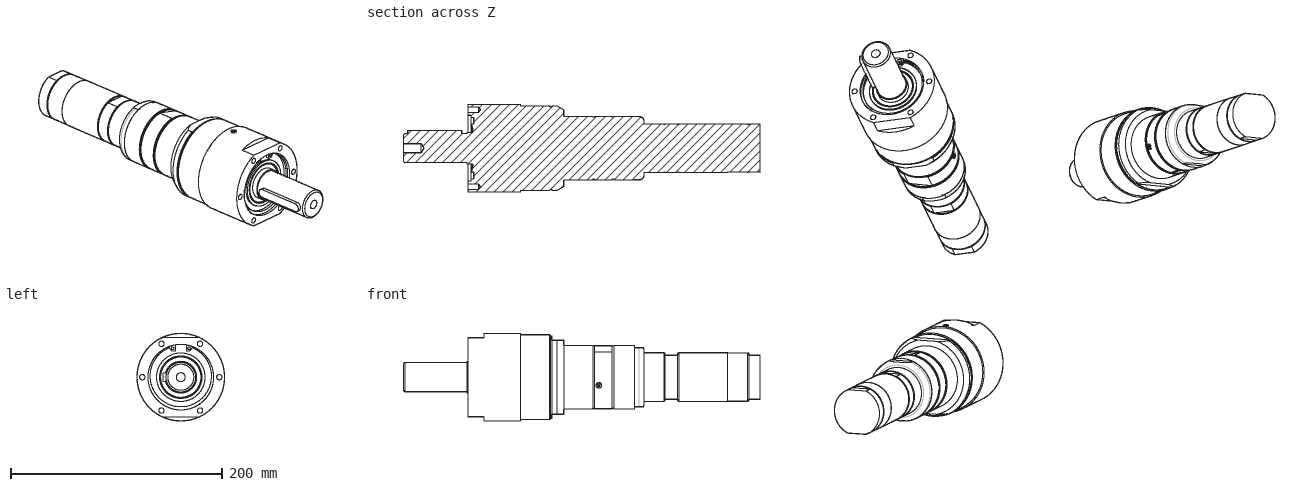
import cadquery as cq
import math


total_length = 337.5
collar_start = 60.0
body_start = 61.0
body_flat_end = 76.3
sleeve_start = 111.0
sleeve_end = 139.5
nut_start = 140.5
nut_cone_start = 145.5
neck_start = 152.0
band_start = 181.0
band_end = 197.5
ring_flat_start = 218.7
tube_start = 227.8
tube_flat_start = 247.5
tube_flat_end = 259.5
tube_joint = 306.8
end_flat_start = 326.7

shaft_r = 28.0 / 2
collar_r = 30.0 / 2
body_r = 83.0 / 2
sleeve_r = 80.3 / 2
nut_end_r = 36.5
neck_r = 60.5 / 2
ring_r = 60.0 / 2
ring_round = 4.7
tube_r = 46.2 / 2
tube_cap_r = 46.0 / 2

shaft_chamfer = 1.5
shaft_chamfer_depth = 1.7
sleeve_chamfer = 1.0
nut_groove_r = sleeve_r - 1.0
joint_groove_width = 1.7
joint_groove_depth = 0.7
tube_groove_width = 1.0
tube_groove_depth = 0.5

cut_margin = 3.5

body_flat = 37.5
nut_flat = 35.0
band_flat = 27.7
band_tilt = 15.0
ring_flat = 28.0
tube_flat = 21.0

key_start = 4.0
key_end = 55.5
key_width = 8.0
key_top = 17.0
key_seat = 10.0
key_end_radius = key_width / 2 - 0.05

recess_r = 62.0 / 2
recess_depth = 5.5
seal_outer_r = 46.0 / 2
seal_inner_r = 40.0 / 2
seal_lip_r = 38.0 / 2
seal_front = 3.7
seal_lip_step = 0.5
clip_front = 2.7
clip_inner_r = 29.0
clip_offset = 1.0
clip_gap = 10.5
clip_hole_y = 7.8
clip_hole_z = 27.5
clip_hole_d = 2.5
lug_bottom_z = 24.5
lug_inner_y = clip_gap / 2
lug_bottom_y = 8.5
lug_outer_y = 11.5
lug_outer_z = 28.7
lug_top_z = 30.5

bolt_count = 6
bolt_circle_r = 36.5
bolt_d = 5.0
bolt_depth = 10.0
center_d = 8.5
center_depth = 17.0
drill_tip_angle = 118.0
port_d = 5.5
port_step_d = 2.5
port_step = 1.0
port_depth = 4.0
body_port_x = 104.3
band_port_x = 185.0


def drill(diameter, depth):
    """Drilled hole along +X from the origin, with a conical tip."""
    radius = diameter / 2
    tip = radius / math.tan(math.radians(drill_tip_angle / 2))
    outline = cq.Workplane("XY").polyline([(0, 0), (0, radius), (depth, radius), (depth + tip, 0)])
    return outline.close().revolve(360, (0, 0, 0), (1, 0, 0))


def disc(x_start, x_end, radius):
    """Cylinder on the part axis between two stations."""
    return cq.Workplane("YZ", origin=(x_start, 0, 0)).circle(radius).extrude(x_end - x_start)


def pipe(x_start, x_end, outer_r, inner_r):
    return disc(x_start, x_end, outer_r).cut(disc(x_start, x_end, inner_r))


def cut_flats(solid, x_start, x_end, flat, outer_r, tilt=0.0):
    """Mill a pair of opposite flats, normal to Z before tilting about X."""
    length = x_end - x_start
    depth = outer_r - flat + cut_margin
    for side in (1, -1):
        block = cq.Workplane("XY").box(length, 2 * outer_r, depth)
        block = block.translate(((x_start + x_end) / 2, 0, side * (flat + depth / 2)))
        solid = solid.cut(block.rotate((0, 0, 0), (1, 0, 0), tilt))
    return solid


def cut_groove(solid, x_start, width, outer_r, depth):
    return solid.cut(pipe(x_start, x_start + width, outer_r + cut_margin, outer_r - depth))


def turned_blank():
    """All coaxial sections as one revolved outline, from the shaft end to the tube end."""
    outline = (
        cq.Workplane("XY")
        .moveTo(0, 0)
        .lineTo(0, shaft_r - shaft_chamfer_depth)
        .lineTo(shaft_chamfer, shaft_r)
        .lineTo(collar_start, shaft_r)
        .lineTo(collar_start, collar_r)
        .lineTo(body_start, collar_r)
        .lineTo(body_start, body_r)
        .lineTo(sleeve_start, body_r)
        .lineTo(sleeve_start, sleeve_r)
        .lineTo(sleeve_end - sleeve_chamfer, sleeve_r)
        .lineTo(sleeve_end, nut_groove_r)
        .lineTo(nut_start, nut_groove_r)
        .lineTo(nut_start, sleeve_r)
        .lineTo(nut_cone_start, sleeve_r)
        .lineTo(neck_start, nut_end_r)
        .lineTo(neck_start, neck_r)
        .lineTo(ring_flat_start, neck_r)
        .lineTo(ring_flat_start, ring_r)
        .lineTo(tube_start - ring_round, ring_r)
        .radiusArc((tube_start, ring_r - ring_round), ring_round)
        .lineTo(tube_start, tube_r)
        .lineTo(tube_joint, tube_r)
        .lineTo(tube_joint, tube_cap_r)
        .lineTo(total_length, tube_cap_r)
        .lineTo(total_length, 0)
        .close()
    )
    return outline.revolve(360, (0, 0, 0), (1, 0, 0))


def seal_counterbore():
    """Two shallow steps in the seal face around the collar."""
    front = body_start + seal_front
    step = front + seal_lip_step
    outer_step = pipe(front, step, seal_inner_r, collar_r)
    return outer_step.union(pipe(step, step + seal_lip_step, seal_lip_r, collar_r))


def feather_key():
    length = key_end - key_start
    key = cq.Workplane("XY").box(length, key_top - key_seat, key_width)
    key = key.edges("|Y").fillet(key_end_radius)
    return key.translate(((key_start + key_end) / 2, (key_top + key_seat) / 2, 0))


def retaining_ring():
    """Eccentric open ring with two drilled lugs, seated on the recess floor."""
    x_start = body_start + clip_front
    x_end = body_start + recess_depth
    thickness = x_end - x_start
    opening = disc(x_start, x_end, clip_inner_r).translate((0, 0, clip_offset))
    ring = disc(x_start, x_end, recess_r).cut(opening)
    base = cq.Workplane("YZ", origin=(x_start, 0, 0))
    for side in (1, -1):
        lug = base.polyline([
            (side * lug_inner_y, lug_top_z),
            (side * lug_inner_y, lug_bottom_z),
            (side * lug_bottom_y, lug_bottom_z),
            (side * lug_outer_y, lug_outer_z),
        ])
        ring = ring.union(lug.close().extrude(thickness))
    gap = base.center(0, recess_r).rect(clip_gap, 2 * (recess_r - lug_bottom_z)).extrude(thickness)
    holes = base.pushPoints([(clip_hole_y, clip_hole_z), (-clip_hole_y, clip_hole_z)])
    return ring.cut(gap).cut(holes.circle(clip_hole_d / 2).extrude(thickness))


def port(x, tilt, outer_r):
    """Stepped radial hole, pointing along +Z before tilting about X."""
    def bore(diameter, depth):
        base = cq.Workplane("XY", origin=(x, 0, outer_r - depth))
        return base.circle(diameter / 2).extrude(depth + cut_margin)

    hole = bore(port_d, port_step).union(bore(port_step_d, port_depth))
    return hole.rotate((0, 0, 0), (1, 0, 0), tilt)


part = turned_blank()

floor = body_start + recess_depth
part = part.cut(pipe(body_start, floor, recess_r, collar_r))
part = part.union(disc(body_start + seal_front, floor, seal_outer_r))
part = part.cut(seal_counterbore())
part = part.union(retaining_ring())

part = cut_groove(part, band_start - joint_groove_width, joint_groove_width, neck_r, joint_groove_depth)
part = cut_groove(part, band_end, joint_groove_width, neck_r, joint_groove_depth)
for groove_start in (tube_flat_start - tube_groove_width, tube_flat_end, end_flat_start - tube_groove_width):
    part = cut_groove(part, groove_start, tube_groove_width, tube_r, tube_groove_depth)

part = cut_flats(part, body_start, body_flat_end, body_flat, body_r)
part = cut_flats(part, nut_start, neck_start, nut_flat, sleeve_r)
part = cut_flats(part, band_start, band_end, band_flat, neck_r, band_tilt)
part = cut_flats(part, ring_flat_start, tube_start, ring_flat, neck_r)
part = cut_flats(part, tube_flat_start, tube_flat_end, tube_flat, tube_r)
part = cut_flats(part, end_flat_start, total_length, tube_flat, tube_r)

part = part.union(feather_key())

part = part.cut(drill(center_d, center_depth))
for index in range(bolt_count):
    bolt_hole = drill(bolt_d, bolt_depth).translate((body_start, bolt_circle_r, 0))
    part = part.cut(bolt_hole.rotate((0, 0, 0), (1, 0, 0), index * 360 / bolt_count))
part = part.cut(port(body_port_x, 0, body_r))
part = part.cut(port(band_port_x, 90 + band_tilt, neck_r))

result = part